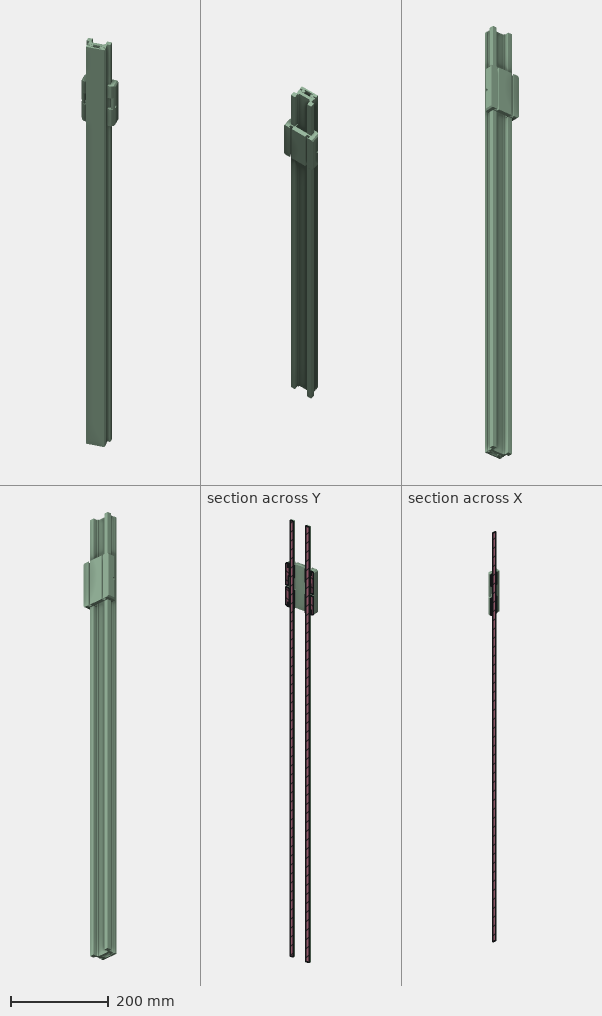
import cadquery as cq

rail_length = 1000.0
base_half_width = 20.0
base_height = 12.0
neck_half_width = 19.0
web_top_y = 18.5
arm_inner_x = 13.0
bar_side = 10.0
bar_outer_x = 25.5
bar_inner_x = bar_outer_x - bar_side
bar_front_y = 21.0
bar_back_y = bar_front_y + bar_side
lower_chamber_half_width = 7.0
lower_chamber_bottom_y = 3.5
lower_chamber_top_y = base_height
flange_slot_half_width = 13.0
flange_slot_height = 1.0
foot_slot_half_width = 10.0
foot_slot_height = 2.0
side_groove_depth = 6.0
side_groove_bottom_y = 6.5
side_groove_top_y = 9.0

carriage_half_width = 36.5
carriage_back_y = 40.0
carriage_front_y = 15.5
carriage_length = 100.0
carriage_top_z = 900.0
carriage_bottom_z = carriage_top_z - carriage_length
side_face_front_y = 22.5
lip_arc_x = 33.4
lip_arc_y = 18.3
lip_outer_x = 29.0
lip_inner_x = 21.5
cavity_top_y = 30.3
end_chamfer = 3.0

groove_inner_x = 17.0
groove_mouth_outer_x = 21.5
groove_outer_x = 24.5
groove_floor_y = 33.5
groove_undercut_y = 38.5

upper_lip_length = 30.0
lower_lip_length = 42.0
opening_top_z = carriage_top_z - upper_lip_length
opening_bottom_z = carriage_bottom_z + lower_lip_length
opening_outer_x = 28.5
opening_front_y = 18.0
side_hole_diameter = 6.0
side_hole_y = 24.0
side_hole_z = carriage_top_z - 54.0

liner_thickness = 1.5
liner_inner_x = bar_inner_x - liner_thickness
liner_outer_x = bar_outer_x + liner_thickness
liner_front_y = bar_front_y - liner_thickness
liner_back_y = bar_back_y + liner_thickness
liner_inner_leg_front_y = 23.0
cap_inner_x = groove_outer_x
cap_outer_x = 30.0
cap_back_y = groove_undercut_y
cap_thickness = 9.0


def block(x_range, y_range, z_range):
    """Box spanning the given (low, high) limits."""
    size = [high - low for low, high in (x_range, y_range, z_range)]
    return cq.Workplane("XY").box(*size, centered=False).translate((x_range[0], y_range[0], z_range[0]))


def rail_block(half_width, y_range):
    """Full-length box centred on the rail."""
    return block((-half_width, half_width), y_range, (0, rail_length))


def mirrored(shape):
    """The shape together with its mirror image across X = 0."""
    return shape.union(shape.mirror("YZ"))


def make_rail():
    rail = rail_block(base_half_width, (0, base_height))
    rail = rail.union(rail_block(neck_half_width, (base_height, web_top_y)))
    arm = block((arm_inner_x, neck_half_width), (web_top_y, bar_front_y), (0, rail_length))
    bar = block((bar_inner_x, bar_outer_x), (bar_front_y, bar_back_y), (0, rail_length))
    rail = rail.union(mirrored(arm.union(bar)))
    rail = rail.cut(rail_block(lower_chamber_half_width, (lower_chamber_bottom_y, lower_chamber_top_y)))
    rail = rail.cut(
        rail_block(flange_slot_half_width, (lower_chamber_top_y - flange_slot_height, lower_chamber_top_y))
    )
    rail = rail.cut(
        rail_block(foot_slot_half_width, (lower_chamber_bottom_y, lower_chamber_bottom_y + foot_slot_height))
    )
    side_groove = block(
        (base_half_width - side_groove_depth, base_half_width),
        (side_groove_bottom_y, side_groove_top_y),
        (0, rail_length),
    )
    return rail.cut(mirrored(side_groove))


def make_carriage_blank():
    """Carriage profile with both bar pockets, the back grooves and the side chamfers."""
    z_range = (carriage_bottom_z, carriage_top_z)
    half = (
        cq.Workplane("XY", origin=(0, 0, carriage_bottom_z))
        .moveTo(0, carriage_back_y)
        .lineTo(carriage_half_width, carriage_back_y)
        .lineTo(carriage_half_width, side_face_front_y)
        .threePointArc((lip_arc_x, lip_arc_y), (lip_outer_x, carriage_front_y))
        .lineTo(lip_inner_x, carriage_front_y)
        .lineTo(lip_inner_x, cavity_top_y)
        .lineTo(0, cavity_top_y)
        .close()
    )
    blank = mirrored(half.extrude(carriage_length))
    bar_pocket = block((liner_inner_x, liner_outer_x), (liner_front_y, liner_back_y), z_range)
    blank = blank.cut(mirrored(bar_pocket))
    mouth = block((groove_inner_x, groove_mouth_outer_x), (groove_floor_y, carriage_back_y), z_range)
    undercut = block((groove_inner_x, groove_outer_x), (groove_floor_y, groove_undercut_y), z_range)
    blank = blank.cut(mirrored(mouth.union(undercut)))
    envelope = (
        cq.Workplane("XY", origin=(0, 0, carriage_bottom_z + carriage_length / 2))
        .box(2 * carriage_half_width, 2 * carriage_back_y, carriage_length)
        .edges("|Y")
        .chamfer(end_chamfer)
    )
    return blank.intersect(envelope)


def cut_opening(carriage):
    """Clear the lips between the liners so that the bars are exposed."""
    z_range = (opening_bottom_z, opening_top_z)
    lip_cut = block((lip_inner_x, opening_outer_x), (carriage_front_y, liner_back_y), z_range)
    wall_cut = block((0, carriage_half_width), (carriage_front_y, opening_front_y), z_range)
    return carriage.cut(mirrored(lip_cut.union(wall_cut)))


def cut_side_holes(carriage):
    hole = (
        cq.Workplane("YZ", origin=(opening_outer_x, side_hole_y, side_hole_z))
        .circle(side_hole_diameter / 2)
        .extrude(carriage_half_width - opening_outer_x)
    )
    return carriage.cut(mirrored(hole))


def make_end_caps(blank):
    """One cap per end and side, following the carriage profile."""
    caps = []
    for z_low in (carriage_bottom_z, carriage_top_z - cap_thickness):
        z_range = (z_low, z_low + cap_thickness)
        pocket = block((cap_inner_x, cap_outer_x), (carriage_front_y, cap_back_y), z_range)
        cap = blank.intersect(pocket)
        caps += [cap, cap.mirror("YZ")]
    return caps


def make_liners():
    """Liners wrapped around each bar, open where the bar meets its arm, one behind each lip."""
    liners = []
    for z_range in ((carriage_bottom_z, opening_bottom_z), (opening_top_z, carriage_top_z)):
        liner = block((liner_inner_x, liner_outer_x), (liner_front_y, liner_back_y), z_range)
        liner = liner.cut(block((bar_inner_x, bar_outer_x), (bar_front_y, bar_back_y), z_range))
        arm_gap = block((liner_inner_x, lip_inner_x), (liner_front_y, liner_inner_leg_front_y), z_range)
        liner = liner.cut(arm_gap)
        liners += [liner, liner.mirror("YZ")]
    return liners


rail = make_rail()
carriage_blank = make_carriage_blank()
end_caps = make_end_caps(carriage_blank)
liners = make_liners()
carriage = cut_side_holes(cut_opening(carriage_blank))
for cap in end_caps:
    carriage = carriage.cut(cap)

bodies = [rail, carriage, *end_caps, *liners]
result = cq.Compound.makeCompound([solid for body in bodies for solid in body.vals()])